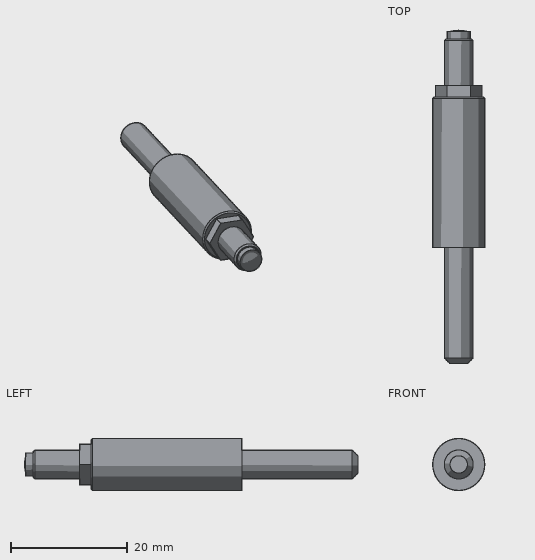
import cadquery as cq
import math

pin_length = 20.0
body_length = 26.0
hex_length = 2.0
shank_length = 8.0
tip_length = 1.3
dome_height = 0.2

pin_diameter = 5.0
pin_chamfer = 1.0
body_diameter = 9.0
body_chamfer = 0.25
hex_across_flats = 7.0
shank_diameter = 5.0
shank_chamfer = 0.3
tip_diameter = 4.0
dome_diameter = 3.0

pin_front = -pin_length
body_rear = body_length
hex_rear = body_rear + hex_length
shank_rear = hex_rear + shank_length
tip_rear = shank_rear + tip_length


def cylinder(diameter, start, length):
    """Cylinder on the Y axis, running from start towards +Y."""
    plane = cq.Plane(origin=(0, start, 0), xDir=(1, 0, 0), normal=(0, 1, 0))
    return cq.Workplane(plane).circle(diameter / 2).extrude(length)


def make_pin():
    """Front pin with a conical lead-in at its tip."""
    return cylinder(pin_diameter, pin_front, pin_length).faces("<Y").chamfer(pin_chamfer)


def make_body():
    """Main barrel, chamfered at the hexagon end."""
    return cylinder(body_diameter, 0, body_length).faces(">Y").chamfer(body_chamfer)


def make_hexagon():
    """Wrench hexagon with flats facing up and down."""
    across_corners = hex_across_flats / math.cos(math.pi / 6)
    plane = cq.Plane(origin=(0, body_rear, 0), xDir=(1, 0, 0), normal=(0, 1, 0))
    return cq.Workplane(plane).polygon(6, across_corners).extrude(hex_length)


def make_shank():
    """Rear shank, chamfered at its free end."""
    return cylinder(shank_diameter, hex_rear, shank_length).faces(">Y").chamfer(shank_chamfer)


def make_tip():
    """Reduced rear tip carrying a shallow spherical dome on its end face."""
    tip_radius = tip_diameter / 2
    dome_base_radius = dome_diameter / 2
    sphere_radius = (dome_base_radius**2 + dome_height**2) / (2 * dome_height)
    sphere_centre = tip_rear + dome_height - sphere_radius
    half_angle = math.asin(dome_base_radius / sphere_radius) / 2
    arc_middle = (
        sphere_radius * math.sin(half_angle),
        sphere_centre + sphere_radius * math.cos(half_angle),
    )
    return (
        cq.Workplane("XY")
        .moveTo(0, shank_rear)
        .lineTo(tip_radius, shank_rear)
        .lineTo(tip_radius, tip_rear)
        .lineTo(dome_base_radius, tip_rear)
        .threePointArc(arc_middle, (0, tip_rear + dome_height))
        .close()
        .revolve(360, (0, 0, 0), (0, 1, 0))
    )


result = make_pin().union(make_body()).union(make_hexagon()).union(make_shank()).union(make_tip())